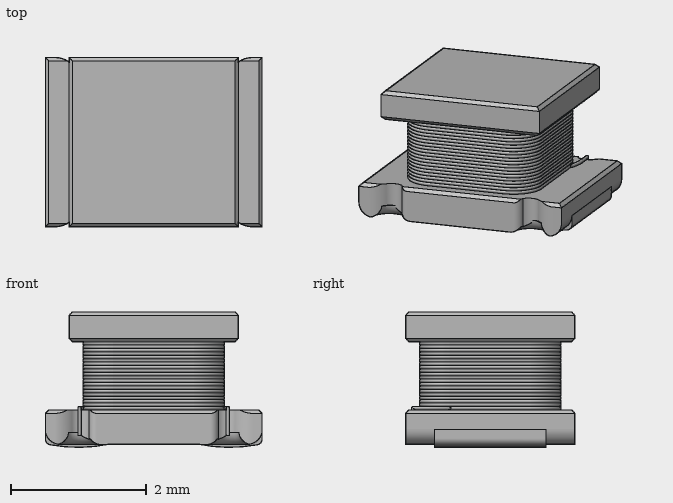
import cadquery as cq
import math

length = 3.2
width = 2.5
height = 2.0
edge_chamfer = 0.05
core_bottom = 0.045
base_top = 0.555
plate_bottom = 1.56
base_corner_radius = 0.22

notch_x = 1.08
notch_root_y = 1.095
notch_shoulder_y = 1.152
notch_half_width = 0.128
notch_outer_x = 1.46
notch_inner_x = 0.84
flare_x = 1.115
flare_radius = 0.173
flare_rim_radius = 0.33

coil_outer_half = 1.045
coil_corner_radius = 0.45
turns = 20
wire_pitch = (plate_bottom - base_top) / turns
wire_radius = wire_pitch / 2
post_half = coil_outer_half - wire_pitch
post_corner_radius = coil_corner_radius - wire_pitch

lead_radius = 0.025
lead_x = 1.095
lead_start = (1.025, -0.592)
lead_straight_y = -0.895
lead_drop_y = -1.135
lead_z = base_top + lead_radius
lead_end_z = 0.18

pad_half_width = 0.822
pad_inner_x = 0.67
pad_top = core_bottom + base_corner_radius
pad_corner_z = 0.128
pad_corner_width = 0.09
pad_edge_z = 0.035
pad_lowest_x = 1.1


def rounded_square(half, corner_radius, z_low, z_high):
    """Upright square prism with rounded vertical edges."""
    block = cq.Workplane("XY", origin=(0, 0, z_low)).rect(2 * half, 2 * half).extrude(z_high - z_low)
    return block.edges("|Z").fillet(corner_radius)


def shoulder_middle(root, end_x):
    """Middle of the arc from a root end to end_x on the side face, tangent to that face."""
    rise = width / 2 - root[1]
    run = root[0] - end_x
    radius = (run ** 2 + rise ** 2) / (2 * rise)
    half_angle = math.atan2(rise, abs(run))
    middle_x = end_x + math.copysign(radius * math.sin(half_angle), run)
    middle_y = width / 2 - radius * (1 - math.cos(half_angle))
    return (middle_x, middle_y)


def make_notch_cutters():
    """Cutters for the +X +Y notch: a slot with a rounded root and wide mouth, and its flared lower edge."""
    side_y = width / 2
    outer_root = (notch_x + notch_half_width, notch_shoulder_y)
    inner_root = (notch_x - notch_half_width, notch_shoulder_y)
    slot = (
        cq.Workplane("XY")
        .moveTo(*inner_root)
        .threePointArc((notch_x, notch_root_y), outer_root)
        .threePointArc(shoulder_middle(outer_root, notch_outer_x), (notch_outer_x, side_y))
        .lineTo(notch_inner_x, side_y)
        .threePointArc(shoulder_middle(inner_root, notch_inner_x), inner_root)
        .close()
        .extrude(height)
    )
    flare_top = core_bottom + flare_radius
    flare_inset = flare_radius * math.sqrt(0.5)
    flare = (
        cq.Workplane("XZ", origin=(flare_x, side_y, 0))
        .moveTo(0, 0)
        .lineTo(flare_rim_radius, 0)
        .lineTo(flare_rim_radius, core_bottom)
        .threePointArc(
            (flare_rim_radius - flare_inset, flare_top - flare_inset),
            (flare_rim_radius - flare_radius, flare_top),
        )
        .lineTo(0, flare_top)
        .close()
        .revolve(360, (0, 0, 0), (0, 1, 0))
    )
    return slot, flare


def make_core():
    """Drum core: notched base flange, post and top flange."""
    base = cq.Workplane("XY", origin=(0, 0, core_bottom)).rect(length, width).extrude(base_top - core_bottom)
    base = base.faces(">Z").edges().chamfer(edge_chamfer)
    base = base.faces("<Z").edges("|Y").fillet(base_corner_radius)
    for cutter in make_notch_cutters():
        for end_cutter in (cutter, cutter.mirror("XZ")):
            base = base.cut(end_cutter).cut(end_cutter.mirror("YZ"))

    plate = cq.Workplane("XY", origin=(0, 0, plate_bottom)).rect(width, width).extrude(height - plate_bottom)
    plate = plate.faces("<Z or >Z").edges().chamfer(edge_chamfer)

    post = rounded_square(post_half, post_corner_radius, base_top, plate_bottom)
    return base.union(post).union(plate)


def quarter_turned(x, y, quarter):
    """Point turned about the Z axis by a number of quarter turns."""
    angle = quarter * math.pi / 2
    turned_x = x * math.cos(angle) - y * math.sin(angle)
    turned_y = x * math.sin(angle) + y * math.cos(angle)
    return (turned_x, turned_y)


def make_coil():
    """Single-layer winding: one round rib per turn, carried around the post."""
    crown_y = -coil_outer_half
    valley_y = crown_y + wire_radius
    profile = cq.Workplane("YZ").moveTo(-post_half, base_top).lineTo(valley_y, base_top)
    for turn in range(turns):
        turn_bottom = base_top + turn * wire_pitch
        profile = profile.threePointArc(
            (crown_y, turn_bottom + wire_radius), (valley_y, turn_bottom + wire_pitch)
        )
    profile = profile.lineTo(-post_half, plate_bottom).close()

    straight = post_half - post_corner_radius
    bend = post_corner_radius * math.sqrt(0.5)
    path = cq.Workplane("XY", origin=(0, 0, base_top)).moveTo(0, -post_half)
    for quarter in range(4):
        path = path.lineTo(*quarter_turned(straight, -post_half, quarter))
        path = path.threePointArc(
            quarter_turned(straight + bend, -straight - bend, quarter),
            quarter_turned(post_half, -straight, quarter),
        )
        path = path.lineTo(*quarter_turned(post_half, 0, quarter))
    return profile.sweep(path.close())


def make_lead():
    """Wire end at +X: leaves the winding, runs to the front and drops into the notch."""
    run = (
        cq.Workplane("XY", origin=(0, 0, lead_z))
        .moveTo(lead_x, lead_drop_y)
        .lineTo(lead_x, lead_straight_y)
        .tangentArcPoint(lead_start, relative=False)
    )
    flat = cq.Workplane("XZ", origin=(lead_x, lead_drop_y, lead_z)).circle(lead_radius).sweep(run)
    drop = (
        cq.Workplane("XY", origin=(lead_x, lead_drop_y, lead_end_z))
        .circle(lead_radius)
        .extrude(lead_z - lead_end_z)
    )
    elbow = cq.Workplane("XY", origin=(lead_x, lead_drop_y, lead_z)).sphere(lead_radius)
    winding_envelope = rounded_square(coil_outer_half, coil_corner_radius, base_top, plate_bottom)
    return flat.union(drop).union(elbow).cut(winding_envelope)


def make_pad(core):
    """Pad at +X: wraps the lower edge of the base and bulges below it."""
    end_x = length / 2
    corner_inset = pad_corner_width * (1 - math.sqrt(0.5))
    corner_drop = (pad_corner_z - pad_edge_z) * math.sqrt(0.5)
    outline = (
        cq.Workplane("XZ")
        .moveTo(pad_inner_x, core_bottom)
        .threePointArc((pad_lowest_x, 0), (end_x - pad_corner_width, pad_edge_z))
        .threePointArc((end_x - corner_inset, pad_corner_z - corner_drop), (end_x, pad_corner_z))
        .lineTo(end_x, pad_top)
        .lineTo(pad_inner_x, pad_top)
        .close()
    )
    return outline.extrude(pad_half_width, both=True).cut(core)


core = make_core()
coil = make_coil()
leads = []
pads = []
for is_mirrored in (False, True):
    lead = make_lead()
    pad = make_pad(core)
    leads.append(lead.mirror("YZ") if is_mirrored else lead)
    pads.append(pad.mirror("YZ") if is_mirrored else pad)

result = cq.Compound.makeCompound(
    [core.val(), coil.val()] + [body.val() for body in leads + pads]
)